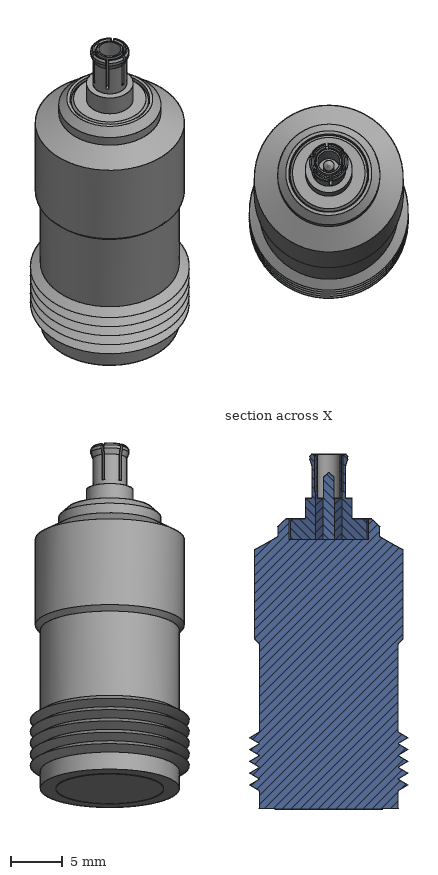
import cadquery as cq

TOTAL_HEIGHT = 34.45
HOUSING_HEIGHT = 28.18

BARREL_RADIUS = 6.75
THREAD_CREST_RADIUS = 7.7
THREAD_START_Z = 1.8
THREAD_END_Z = 7.5
THREAD_RIDGES = 5
THREAD_PITCH = (THREAD_END_Z - THREAD_START_Z) / THREAD_RIDGES
GRIP_RADIUS = 7.25
GRIP_BOTTOM_Z = 16.02
GRIP_CHAMFER = 0.5
GRIP_TOP_Z = 25.2
NECK_BOTTOM_Z = 26.45
NECK_RADIUS = 4.95
NECK_CHAMFER_HEIGHT = 0.75
NECK_TOP_RADIUS = 4.17

END_DISC_RADIUS = 5.25
END_DISC_HEIGHT = 0.07

FLANGE_RADIUS = 3.75
FLANGE_THICKNESS = 2.0
FLANGE_CHAMFER = 0.25
FLANGE_CLEARANCE = 0.1
COLLAR_RADIUS = 2.27
COLLAR_HEIGHT = 2.0
SLEEVE_OUTER_RADIUS = 1.65
SLEEVE_INNER_RADIUS = 1.38
LIP_RADIUS = 1.85
LIP_CONE_BOTTOM_Z = 33.35
LIP_BOTTOM_Z = 33.9
LIP_TOP_Z = 34.2
LIP_RIM_OUTER_RADIUS = 1.7
LIP_RIM_INNER_RADIUS = 1.55
RIM_INNER_CHAMFER = LIP_RIM_INNER_RADIUS - SLEEVE_INNER_RADIUS
SLOT_COUNT = 6
SLOT_WIDTH = 0.28
SLOT_BOTTOM_Z = 30.8

INSULATOR_RADIUS = 1.25
INSULATOR_BORE_RADIUS = 1.07
INSULATOR_TOP_Z = TOTAL_HEIGHT

PIN_RADIUS = 0.5
PIN_SHOULDER_RADIUS = 0.28
PIN_SHOULDER_HEIGHT = 0.2
PIN_POINT_HEIGHT = 0.28
PIN_TOP_Z = 32.73

FLANGE_BOTTOM_Z = HOUSING_HEIGHT - FLANGE_THICKNESS
COLLAR_TOP_Z = HOUSING_HEIGHT + COLLAR_HEIGHT


def revolve_profile(points):
    """Revolve a closed (radius, z) outline about the Z axis."""
    return cq.Workplane("XZ").polyline(points).close().revolve(360, (0, 0, 0), (0, 1, 0))


def cylinder(radius, bottom_z, top_z):
    return cq.Workplane("XY").workplane(offset=bottom_z).circle(radius).extrude(top_z - bottom_z)


def make_housing():
    outline = [
        (0, 0),
        (END_DISC_RADIUS, 0),
        (END_DISC_RADIUS, END_DISC_HEIGHT),
        (BARREL_RADIUS, END_DISC_HEIGHT),
        (BARREL_RADIUS, THREAD_START_Z),
    ]
    for ridge in range(THREAD_RIDGES):
        root_z = THREAD_START_Z + ridge * THREAD_PITCH
        outline.append((THREAD_CREST_RADIUS, root_z + THREAD_PITCH / 2))
        outline.append((BARREL_RADIUS, root_z + THREAD_PITCH))
    outline += [
        (BARREL_RADIUS, GRIP_BOTTOM_Z),
        (GRIP_RADIUS, GRIP_BOTTOM_Z + GRIP_CHAMFER),
        (GRIP_RADIUS, GRIP_TOP_Z),
        (NECK_RADIUS, NECK_BOTTOM_Z),
        (NECK_RADIUS, HOUSING_HEIGHT - NECK_CHAMFER_HEIGHT),
        (NECK_TOP_RADIUS, HOUSING_HEIGHT),
        (0, HOUSING_HEIGHT),
    ]
    flange_seat = cylinder(FLANGE_RADIUS + FLANGE_CLEARANCE, FLANGE_BOTTOM_Z, HOUSING_HEIGHT)
    return revolve_profile(outline).cut(flange_seat)


def make_ferrule():
    ferrule = revolve_profile([
        (INSULATOR_RADIUS, FLANGE_BOTTOM_Z),
        (FLANGE_RADIUS, FLANGE_BOTTOM_Z),
        (FLANGE_RADIUS, HOUSING_HEIGHT - FLANGE_CHAMFER),
        (FLANGE_RADIUS - FLANGE_CHAMFER, HOUSING_HEIGHT),
        (COLLAR_RADIUS, HOUSING_HEIGHT),
        (COLLAR_RADIUS, COLLAR_TOP_Z),
        (SLEEVE_OUTER_RADIUS, COLLAR_TOP_Z),
        (SLEEVE_OUTER_RADIUS, LIP_CONE_BOTTOM_Z),
        (LIP_RADIUS, LIP_BOTTOM_Z),
        (LIP_RADIUS, LIP_TOP_Z),
        (LIP_RIM_OUTER_RADIUS, TOTAL_HEIGHT),
        (LIP_RIM_INNER_RADIUS, TOTAL_HEIGHT),
        (SLEEVE_INNER_RADIUS, TOTAL_HEIGHT - RIM_INNER_CHAMFER),
        (SLEEVE_INNER_RADIUS, SLOT_BOTTOM_Z),
        (INSULATOR_RADIUS, SLOT_BOTTOM_Z),
    ])
    slot_height = TOTAL_HEIGHT - SLOT_BOTTOM_Z
    for index in range(SLOT_COUNT):
        slot = (
            cq.Workplane("XY")
            .workplane(offset=SLOT_BOTTOM_Z)
            .center(LIP_RADIUS / 2, 0)
            .rect(LIP_RADIUS, SLOT_WIDTH)
            .extrude(slot_height)
            .rotate((0, 0, 0), (0, 0, 1), index * 360 / SLOT_COUNT)
        )
        ferrule = ferrule.cut(slot)
    return ferrule


def make_insulator():
    return revolve_profile([
        (PIN_RADIUS, FLANGE_BOTTOM_Z),
        (INSULATOR_RADIUS, FLANGE_BOTTOM_Z),
        (INSULATOR_RADIUS, INSULATOR_TOP_Z),
        (INSULATOR_BORE_RADIUS, INSULATOR_TOP_Z),
        (INSULATOR_BORE_RADIUS, COLLAR_TOP_Z),
        (PIN_RADIUS, COLLAR_TOP_Z),
    ])


def make_pin():
    shoulder_top_z = PIN_TOP_Z - PIN_POINT_HEIGHT
    return revolve_profile([
        (0, FLANGE_BOTTOM_Z),
        (PIN_RADIUS, FLANGE_BOTTOM_Z),
        (PIN_RADIUS, shoulder_top_z - PIN_SHOULDER_HEIGHT),
        (PIN_SHOULDER_RADIUS, shoulder_top_z),
        (0, PIN_TOP_Z),
    ])


housing = make_housing()
ferrule = make_ferrule()
insulator = make_insulator()
pin = make_pin()

result = cq.Compound.makeCompound([housing.val(), ferrule.val(), insulator.val(), pin.val()])